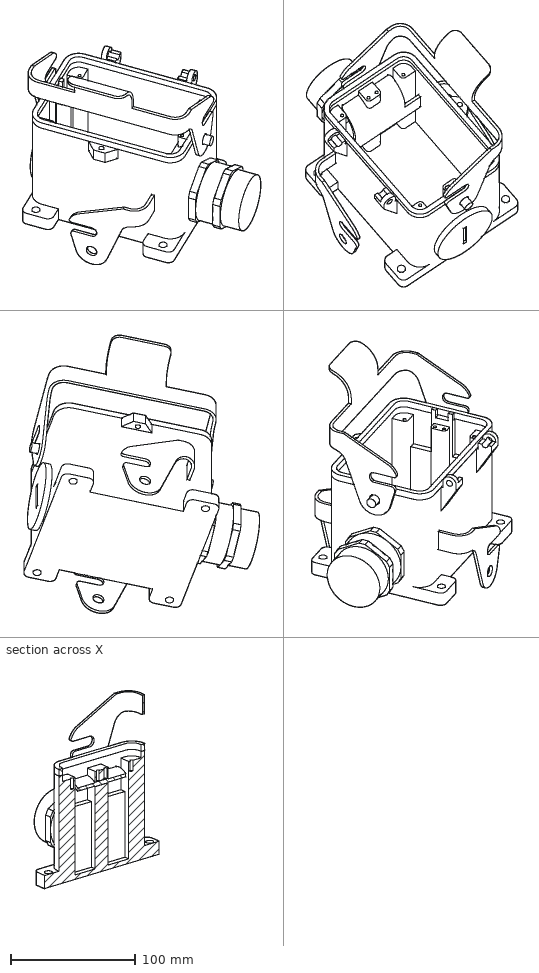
import cadquery as cq
import math


HOUSING_X = 131.7
HOUSING_Y = 90.0
CORNER_R = 12.5
WALL = 4.3
FLOOR = 4.3
SHELL_TOP = 94.0
SEAL_HEIGHT = 5.7
RIM_TOP = SHELL_TOP + SEAL_HEIGHT
INNER_X = HOUSING_X - 2 * WALL
INNER_Y = HOUSING_Y - 2 * WALL
INNER_R = CORNER_R - WALL

FOOT_X = 26.8
FOOT_Y = 119.5
FOOT_HEIGHT = 11.7
FOOT_R = 5.2
FOOT_HOLE_D = 6.5
FOOT_HOLE_SPACING_X = 110.8
FOOT_HOLE_SPACING_Y = 105.6

BOSS_TOP = 88.5
BOSS_REACH = 13.0
BOSS_R = 3.1
MID_BOSS_WIDTH = 14.0
SCREW_HOLE_D = 2.4
SCREW_HOLE_DEPTH = 9.2
SCREW_SPACING_X = 103.8
SCREW_SPACING_Y = 62.0
MID_SCREW_SPACING_Y = 8.1

PAD_THICKNESS = 5.2
PAD_TOP = 61.0
PAD_WIDTH = INNER_Y - 2 * BOSS_REACH
KEY_WIDTH = 18.9
KEY_POST_X = 3.3
KEY_POST_Y = 3.9
KEY_POST_TOP = 101.0

EYE_Y = 52.4
EYE_Z = 99.5
EYE_R = 6.0
EYE_HOLE_D = 5.2
EYE_OUTER_X = 39.4
EYE_THICKNESS = 4.5
HINGE_LENGTH = 12.4
HINGE_FOOT_Z = 71.8

CATCH_WIDTH = 25.7
CATCH_FRONT_WIDTH = 10.0
CATCH_DEPTH = 8.3
CATCH_HEIGHT = 10.0
CATCH_HOLE_D = 4.0
CATCH_HOLE_OFFSET = 3.7

PIN_D = 8.0
PIN_Z = 87.1
PIN_SPAN = 151.7

PORT_Z = 31.6
PLUG_D = 55.0
PLUG_THICKNESS = 5.0
PLUG_SLOT_WIDTH = 3.1
PLUG_SLOT_LENGTH = 25.2
PLUG_SLOT_DEPTH = 1.8
GLAND_END_X = 109.2
GLAND_HEX_FLATS = 49.2
GLAND_HEX_CORNERS = 53.6
GLAND_HEX_THICKNESS = 6.3
GLAND_BODY_D = 49.2
GLAND_BODY_LENGTH = 14.8
GLAND_CAP_D = 47.0

LEVER_SPAN = 139.5
LEVER_THICKNESS = 2.5
LEVER_BEND_R = 12.4
LEVER_BAR_REACH = 44.5
LEVER_BAR_BOTTOM = 38.1
LEVER_BAR_TOP = 55.0
LEVER_PIVOT_R = 14.0
LEVER_HOLE_D = 9.0
LEVER_SHOULDER = 27.5
LEVER_NECK_CORNER = 28.7
LEVER_NECK_R = 12.0
HOOK_SLOT_WIDTH = 9.0
HOOK_SLOT_Z = 20.7
HOOK_BACK_START = (12.5, 35.7)
HOOK_BACK_MIDDLE = (16.6, 32.2)
HOOK_NOSE = (19.2, 28.1)
HOOK_NOSE_MIDDLE = (19.0, 26.0)
HOOK_TIP = 17.4
HOOK_LIP = 19.0
HOOK_LIP_R = 3.1
TAB_WIDTH = 50.1
TAB_CURL_START = 60.1
TAB_CURL_R = 22.4
TAB_CORNER_R = 7.2


def box(x_min, x_max, y_min, y_max, z_min, z_max):
    """Block given by its limits along each axis."""
    size = (x_max - x_min, y_max - y_min, z_max - z_min)
    return cq.Workplane("XY").box(*size, centered=False).translate((x_min, y_min, z_min))


def rounded_block(size_x, size_y, radius, z_min, z_max):
    """Block centred on the Z axis with rounded upright edges."""
    half_x = size_x / 2
    half_y = size_y / 2
    return box(-half_x, half_x, -half_y, half_y, z_min, z_max).edges("|Z").fillet(radius)


def disc_along_x(x_start, length, diameter, z):
    """Cylinder along +X at y = 0."""
    return cq.Workplane("YZ", origin=(x_start, 0, z)).circle(diameter / 2).extrude(length)


def make_feet():
    feet = cq.Workplane("XY")
    for side in (-1, 1):
        foot = rounded_block(FOOT_X, FOOT_Y, FOOT_R, 0, FOOT_HEIGHT)
        feet = feet.add(foot.translate((side * (HOUSING_X - FOOT_X) / 2, 0, 0)))
    feet = feet.combine()
    holes = (
        cq.Workplane("XY")
        .rarray(FOOT_HOLE_SPACING_X, FOOT_HOLE_SPACING_Y, 2, 2)
        .circle(FOOT_HOLE_D / 2)
        .extrude(FOOT_HEIGHT)
    )
    return feet.cut(holes)


def make_bosses():
    """Corner bosses and middle bosses with their screw holes, trimmed to the cavity."""
    reach_x = BOSS_REACH + WALL
    corner_gap = INNER_Y - 2 * BOSS_REACH
    corner_y = (HOUSING_Y - corner_gap) / 2
    bosses = cq.Workplane("XY")
    for side_x in (-1, 1):
        x = side_x * (HOUSING_X - reach_x) / 2
        middle = rounded_block(reach_x, MID_BOSS_WIDTH, BOSS_R, FLOOR, BOSS_TOP)
        bosses = bosses.add(middle.translate((x, 0, 0)))
        for side_y in (-1, 1):
            corner = rounded_block(reach_x, corner_y, BOSS_R, FLOOR, BOSS_TOP)
            bosses = bosses.add(corner.translate((x, side_y * (HOUSING_Y - corner_y) / 2, 0)))
    bosses = bosses.combine().intersect(rounded_block(INNER_X, INNER_Y, INNER_R, FLOOR, BOSS_TOP))
    for spacing_y in (SCREW_SPACING_Y, MID_SCREW_SPACING_Y):
        holes = (
            cq.Workplane("XY", origin=(0, 0, BOSS_TOP))
            .rarray(SCREW_SPACING_X, spacing_y, 2, 2)
            .circle(SCREW_HOLE_D / 2)
            .extrude(-SCREW_HOLE_DEPTH)
        )
        bosses = bosses.cut(holes)
    return bosses


def make_end_pads():
    """Thicker stretches of the end walls, with the key block and its two posts at -X."""
    x_wall = INNER_X / 2
    x_face = x_wall - PAD_THICKNESS
    half_pad = PAD_WIDTH / 2
    half_key = KEY_WIDTH / 2
    pads = box(-x_wall, -x_face, -half_pad, half_pad, FLOOR, PAD_TOP)
    pads = pads.union(box(x_face, x_wall, -half_pad, half_pad, FLOOR, PAD_TOP))
    pads = pads.union(box(-x_wall, -x_face, -half_key, half_key, FLOOR, SHELL_TOP))
    for y_min in (-half_key, half_key - KEY_POST_Y):
        post = box(-x_face - KEY_POST_X, -x_face, y_min, y_min + KEY_POST_Y, FLOOR, KEY_POST_TOP)
        pads = pads.union(post)
    return pads


def make_hinge():
    """Hinge at the -X end: a full eye, then an open half-eye that continues inward."""
    y_wall = HOUSING_Y / 2
    x_start = -EYE_OUTER_X
    plane = cq.Workplane("YZ", origin=(x_start, 0, 0))
    web = (
        plane.moveTo(y_wall, HINGE_FOOT_Z)
        .lineTo(EYE_Y + EYE_R, SHELL_TOP)
        .lineTo(EYE_Y + EYE_R, EYE_Z)
        .lineTo(EYE_Y - EYE_R, EYE_Z)
        .lineTo(EYE_Y - EYE_R, SHELL_TOP)
        .lineTo(y_wall, SHELL_TOP)
        .close()
        .extrude(HINGE_LENGTH)
    )
    eye = plane.center(EYE_Y, EYE_Z).circle(EYE_R).extrude(EYE_THICKNESS)
    hole = plane.center(EYE_Y, EYE_Z).circle(EYE_HOLE_D / 2).extrude(HINGE_LENGTH)
    return web.union(eye).cut(hole)


def make_catch():
    y_wall = -HOUSING_Y / 2
    y_front = y_wall - CATCH_DEPTH
    plane = cq.Workplane("XY", origin=(0, 0, SHELL_TOP))
    block = (
        plane.moveTo(-CATCH_WIDTH / 2, y_wall)
        .lineTo(-CATCH_FRONT_WIDTH / 2, y_front)
        .lineTo(CATCH_FRONT_WIDTH / 2, y_front)
        .lineTo(CATCH_WIDTH / 2, y_wall)
        .close()
        .extrude(-CATCH_HEIGHT)
    )
    hole = plane.center(0, y_wall - CATCH_HOLE_OFFSET).circle(CATCH_HOLE_D / 2).extrude(-CATCH_HEIGHT)
    return block.cut(hole)


def make_plug():
    x_face = -HOUSING_X / 2 - PLUG_THICKNESS
    slot = box(
        x_face,
        x_face + PLUG_SLOT_DEPTH,
        -PLUG_SLOT_WIDTH / 2,
        PLUG_SLOT_WIDTH / 2,
        PORT_Z - PLUG_SLOT_LENGTH / 2,
        PORT_Z + PLUG_SLOT_LENGTH / 2,
    )
    return disc_along_x(x_face, PLUG_THICKNESS, PLUG_D, PORT_Z).cut(slot)


def make_gland_hex(x_start):
    """Hexagon with flats on +Y and -Y and its six corners cut flat."""
    plane = cq.Workplane("YZ", origin=(x_start, 0, PORT_Z))
    corner_hex = plane.polygon(6, GLAND_HEX_CORNERS, circumscribed=True).extrude(GLAND_HEX_THICKNESS)
    flat_hex = plane.polygon(6, GLAND_HEX_FLATS, circumscribed=True).extrude(GLAND_HEX_THICKNESS)
    axis_start = (0, 0, PORT_Z)
    axis_end = (1, 0, PORT_Z)
    hex_turn = 30
    return corner_hex.rotate(axis_start, axis_end, hex_turn).intersect(flat_hex)


def make_gland():
    x_body = HOUSING_X / 2 + GLAND_HEX_THICKNESS
    x_nut = x_body + GLAND_BODY_LENGTH
    x_cap = x_nut + GLAND_HEX_THICKNESS
    gland = make_gland_hex(HOUSING_X / 2)
    gland = gland.union(disc_along_x(x_body, GLAND_BODY_LENGTH, GLAND_BODY_D, PORT_Z))
    gland = gland.union(make_gland_hex(x_nut))
    return gland.union(disc_along_x(x_cap, GLAND_END_X - x_cap, GLAND_CAP_D, PORT_Z))


def make_housing():
    cavity = rounded_block(INNER_X, INNER_Y, INNER_R, FLOOR, SHELL_TOP)
    housing = rounded_block(HOUSING_X, HOUSING_Y, CORNER_R, 0, SHELL_TOP).union(make_feet()).cut(cavity)
    hinge = make_hinge()
    pin_length = (PIN_SPAN - HOUSING_X) / 2
    for feature in (
        make_bosses(),
        make_end_pads(),
        hinge,
        hinge.mirror("YZ"),
        make_catch(),
        disc_along_x(-PIN_SPAN / 2, pin_length, PIN_D, PIN_Z),
        disc_along_x(HOUSING_X / 2, pin_length, PIN_D, PIN_Z),
        make_plug(),
        make_gland(),
    ):
        housing = housing.union(feature)
    return housing


def make_seal():
    """Rim ring that carries the wall section up from the shell."""
    ring = rounded_block(HOUSING_X, HOUSING_Y, CORNER_R, SHELL_TOP, RIM_TOP)
    return ring.cut(rounded_block(INNER_X, INNER_Y, INNER_R, SHELL_TOP, RIM_TOP))


def pivot_tangent(point, side):
    """Point where a line from `point` touches the pivot circle; side is -1 or 1."""
    angle = math.atan2(point[1], point[0]) + side * math.acos(LEVER_PIVOT_R / math.hypot(*point))
    return LEVER_PIVOT_R * math.cos(angle), LEVER_PIVOT_R * math.sin(angle)


def make_lever_profile():
    """Side outline of the lever as a prism along X; the bar lies toward -Y, the hook toward +Y."""
    slot_top = HOOK_SLOT_Z + HOOK_SLOT_WIDTH / 2
    slot_bottom = HOOK_SLOT_Z - HOOK_SLOT_WIDTH / 2
    neck = (-LEVER_NECK_CORNER, LEVER_BAR_BOTTOM)
    lip = (HOOK_LIP, slot_bottom)
    prism = (
        cq.Workplane("YZ", origin=(-LEVER_SPAN / 2, 0, 0))
        .moveTo(-LEVER_BAR_REACH, LEVER_BAR_TOP)
        .lineTo(-LEVER_SHOULDER, LEVER_BAR_TOP)
        .lineTo(*HOOK_BACK_START)
        .threePointArc(HOOK_BACK_MIDDLE, HOOK_NOSE)
        .threePointArc(HOOK_NOSE_MIDDLE, (HOOK_TIP, slot_top))
        .lineTo(0, slot_top)
        .threePointArc((-HOOK_SLOT_WIDTH / 2, HOOK_SLOT_Z), (0, slot_bottom))
        .lineTo(*lip)
        .lineTo(*pivot_tangent(lip, -1))
        .threePointArc((0, -LEVER_PIVOT_R), pivot_tangent(neck, 1))
        .lineTo(*neck)
        .lineTo(-LEVER_BAR_REACH, LEVER_BAR_BOTTOM)
        .close()
        .extrude(LEVER_SPAN)
    )
    prism = prism.edges(cq.NearestToPointSelector((0, *lip))).fillet(HOOK_LIP_R)
    prism = prism.edges(cq.NearestToPointSelector((0, *neck))).fillet(LEVER_NECK_R)
    return prism.cut(disc_along_x(-LEVER_SPAN / 2, LEVER_SPAN, LEVER_HOLE_D, 0))


def make_lever_band():
    """U-shaped strip seen along Z, tall enough to hold the whole side outline."""
    half_span = LEVER_SPAN / 2
    half_gap = half_span - LEVER_THICKNESS
    y_bar = -LEVER_BAR_REACH
    y_end = HOOK_NOSE[0] + LEVER_PIVOT_R
    outer = box(-half_span, half_span, y_bar, y_end, -LEVER_PIVOT_R, LEVER_BAR_TOP)
    inner = box(-half_gap, half_gap, y_bar + LEVER_THICKNESS, y_end, -LEVER_PIVOT_R, LEVER_BAR_TOP)
    outer = outer.edges("|Z and <Y").fillet(LEVER_BEND_R)
    inner = inner.edges("|Z and <Y").fillet(LEVER_BEND_R - LEVER_THICKNESS)
    return outer.cut(inner)


def make_lever_tab():
    """Thumb tab that rises from the bar and curls outward through a quarter turn."""
    y_inner = -LEVER_BAR_REACH + LEVER_THICKNESS
    y_tip = y_inner - TAB_CURL_R
    z_top = TAB_CURL_START + TAB_CURL_R
    inner_r = TAB_CURL_R - LEVER_THICKNESS
    diagonal = math.sqrt(0.5)
    strip = (
        cq.Workplane("YZ", origin=(-TAB_WIDTH / 2, 0, 0))
        .moveTo(y_inner, LEVER_BAR_TOP)
        .lineTo(y_inner, TAB_CURL_START)
        .threePointArc(
            (y_tip + TAB_CURL_R * diagonal, TAB_CURL_START + TAB_CURL_R * diagonal),
            (y_tip, z_top),
        )
        .lineTo(y_tip, z_top - LEVER_THICKNESS)
        .threePointArc(
            (y_tip + inner_r * diagonal, TAB_CURL_START + inner_r * diagonal),
            (-LEVER_BAR_REACH, TAB_CURL_START),
        )
        .lineTo(-LEVER_BAR_REACH, LEVER_BAR_TOP)
        .close()
        .extrude(TAB_WIDTH)
    )
    outline = box(-TAB_WIDTH / 2, TAB_WIDTH / 2, y_tip, y_inner, LEVER_BAR_TOP, z_top)
    return strip.intersect(outline.edges("|Z and <Y").fillet(TAB_CORNER_R))


def make_lever(pivot_z, turn):
    """Locking lever turned about Z by `turn` degrees, with its pivot at height `pivot_z`."""
    lever = make_lever_band().intersect(make_lever_profile()).union(make_lever_tab())
    return lever.rotate((0, 0, 0), (0, 0, 1), turn).translate((0, 0, pivot_z))


levers = [make_lever(pivot_z, turn) for pivot_z, turn in ((PIN_Z, 0), (0, 90))]

housing = make_housing()
for lever in levers:
    housing = housing.cut(lever)
seal = make_seal()

bodies = [housing, seal, *levers]
result = cq.Compound.makeCompound([body.solids().val() for body in bodies])